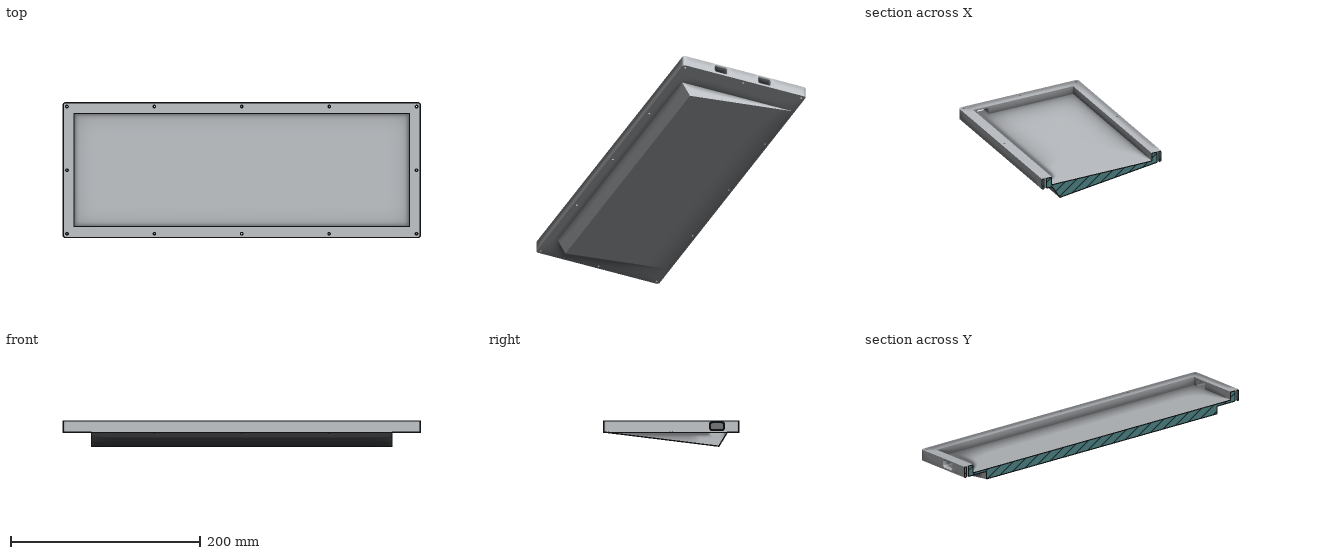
import cadquery as cq

length = 378.0
width = 143.0
tray_height = 12.0
total_height = 27.0
corner_radius = 3.0
rim_width = 11.7
floor_thickness = 3.0

hole_diameter = 2.4
hole_inset = 4.0
hole_columns = 5

wedge_length = 318.3
wedge_back_inset = 12.0
wedge_lowest_inset = 21.0
wedge_front_inset = 2.0

opening_width = 14.0
opening_height = 7.0
opening_radius = 2.0
mouth_bevel = 1.0
left_opening_places = (27.2, -23.0)
right_opening_place = 48.5


def make_tray():
    """Shallow open tray with rounded outer corners and its underside at Z = 0."""
    body = cq.Workplane("XY").box(length, width, tray_height, centered=(True, True, False))
    body = body.edges("|Z").fillet(corner_radius)
    cavity = (
        cq.Workplane("XY")
        .workplane(offset=floor_thickness)
        .rect(length - 2 * rim_width, width - 2 * rim_width)
        .extrude(tray_height - floor_thickness)
    )
    return body.cut(cavity)


def make_wedge():
    """Triangular foot that tilts the tray, centred along X."""
    back = width / 2 - wedge_back_inset
    lowest = width / 2 - wedge_lowest_inset
    front = -width / 2 + wedge_front_inset
    return (
        cq.Workplane("YZ")
        .polyline([(back, 0), (lowest, tray_height - total_height), (front, 0)])
        .close()
        .extrude(wedge_length / 2, both=True)
    )


def rim_hole_places():
    """Evenly spaced holes on both long sides and one in the middle of each short side."""
    end_x = length / 2 - hole_inset
    side_y = width / 2 - hole_inset
    spacing = 2 * end_x / (hole_columns - 1)
    places = [(-end_x, 0), (end_x, 0)]
    for column in range(hole_columns):
        x = -end_x + column * spacing
        places += [(x, -side_y), (x, side_y)]
    return places


def make_opening(side, y):
    """Rounded cutter through one end wall (side is -1 or 1), level with the tray floor.

    The outer end flares by the bevel on every edge.
    """
    passage = (
        cq.Workplane("XY")
        .box(rim_width, opening_width, opening_height)
        .edges("|X")
        .fillet(opening_radius)
    )
    flare = (
        cq.Workplane("XY")
        .box(2 * mouth_bevel, opening_width + 2 * mouth_bevel, opening_height + 2 * mouth_bevel)
        .edges("|X")
        .fillet(opening_radius + mouth_bevel)
        .faces(">X" if side < 0 else "<X")
        .chamfer(mouth_bevel)
        .translate((side * rim_width / 2, 0, 0))
    )
    return passage.union(flare).translate(
        (side * (length - rim_width) / 2, y, floor_thickness + opening_height / 2)
    )


holes = (
    cq.Workplane("XY")
    .workplane(offset=tray_height - total_height)
    .pushPoints(rim_hole_places())
    .circle(hole_diameter / 2)
    .extrude(total_height)
)

result = make_tray().union(make_wedge()).cut(holes)
for place in left_opening_places:
    result = result.cut(make_opening(-1, place))
result = result.cut(make_opening(1, right_opening_place))